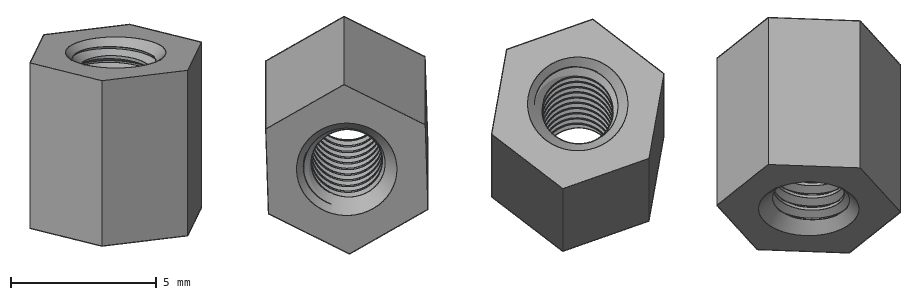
import cadquery as cq
import math

hexagon_sides = 6
across_flats = 5.5
height = 6.0

major_radius = 3.0 / 2
pitch = 0.5
flank_angle = math.radians(30)

countersink_radius = 3.46 / 2
countersink_angle = math.radians(45)

fundamental_height = pitch * math.sqrt(3) / 2
thread_depth = 5 / 8 * fundamental_height
minor_radius = major_radius - thread_depth
root_width = pitch / 8

bore_overlap = 0.01
run_out = 1.3 * pitch


def hexagon_body():
    across_corners = across_flats / math.cos(math.pi / hexagon_sides)
    return cq.Workplane("XY").polygon(hexagon_sides, across_corners).extrude(height)


def bore_with_countersinks():
    """Minor-diameter bore that opens into a cone at both end faces."""
    cone_depth = (countersink_radius - minor_radius) / math.tan(countersink_angle)
    return (
        cq.Workplane("XZ")
        .moveTo(0, 0)
        .lineTo(countersink_radius, 0)
        .lineTo(minor_radius, cone_depth)
        .lineTo(minor_radius, height - cone_depth)
        .lineTo(countersink_radius, height)
        .lineTo(0, height)
        .close()
        .revolve(360, (0, 0, 0), (0, 1, 0))
    )


def thread_groove():
    """Right-hand trapezoidal groove swept along a helix, past both end faces."""
    inner_radius = minor_radius - bore_overlap
    half_root = root_width / 2
    half_mouth = half_root + (major_radius - inner_radius) * math.tan(flank_angle)
    helix = cq.Wire.makeHelix(pitch, height + 2 * run_out, inner_radius)
    groove = (
        cq.Workplane("XZ")
        .moveTo(inner_radius, -half_mouth)
        .lineTo(major_radius, -half_root)
        .lineTo(major_radius, half_root)
        .lineTo(inner_radius, half_mouth)
        .close()
        .sweep(cq.Workplane(obj=helix), isFrenet=True)
    )
    return groove.translate((0, 0, -run_out))


def threaded_hole():
    """Countersunk bore plus groove, turned so the groove is centred on z = 0 at the +X direction."""
    hole = bore_with_countersinks().union(thread_groove())
    return hole.rotate((0, 0, 0), (0, 0, 1), -360 * run_out / pitch)


result = hexagon_body().cut(threaded_hole()).solids()